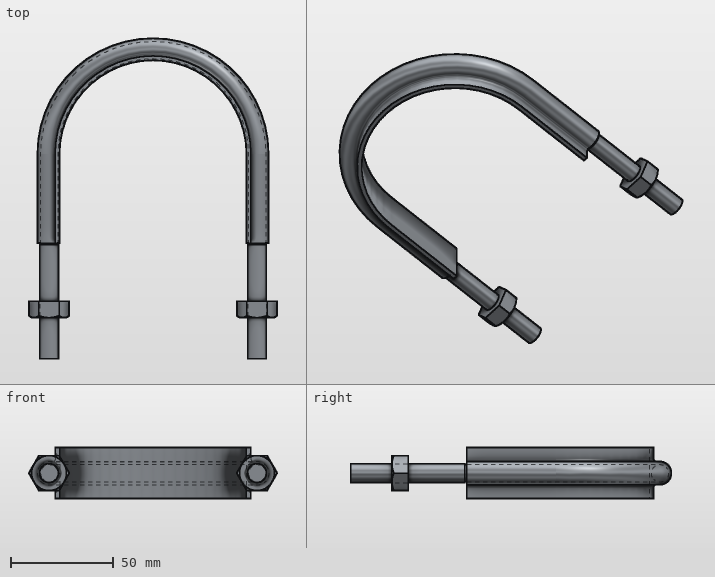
import cadquery as cq
import math

leg_spacing = 101.0
bend_radius = leg_spacing / 2
rod_diameter = 9.2
core_diameter = 8.4
neck_length = 0.8

band_width = 25.0
band_thickness = 2.2
band_inner_radius = 45.3
band_outer_radius = band_inner_radius + band_thickness
sleeve_diameter = 11.4
sleeve_radius = sleeve_diameter / 2
root_fillet = 1.5
liner_leg = 43.3

overall_length = 155.8
leg_end_y = bend_radius + sleeve_radius - overall_length
liner_end_y = -liner_leg
rod_shoulder_y = liner_end_y - neck_length

nut_across_flats = 17.0
nut_across_corners = nut_across_flats / math.cos(math.pi / 6)
nut_thickness = 8.0
nut_from_leg_end = 20.1
nut_face_diameter = 17.0
nut_chamfer_height = 1.0


def sweep_around_u(make_section):
    """Carry the closed XZ section made at +X along one leg, around the bend and back."""
    leg = make_section().extrude(liner_leg)
    bend = make_section().revolve(180, (0, 0, 0), (0, 1, 0))
    return leg.union(leg.mirror("YZ")).union(bend)


def cylinder_along_leg(x, y_start, y_end, diameter):
    plane = cq.Workplane("XZ", origin=(x, y_start, 0))
    return plane.circle(diameter / 2).extrude(y_start - y_end)


def make_rod():
    rod = sweep_around_u(core_section)
    for x in (-bend_radius, bend_radius):
        rod = rod.union(cylinder_along_leg(x, liner_end_y, rod_shoulder_y, core_diameter))
        rod = rod.union(cylinder_along_leg(x, rod_shoulder_y, leg_end_y, rod_diameter))
    return rod


def core_section():
    return cq.Workplane("XZ").moveTo(bend_radius, 0).circle(core_diameter / 2)


def liner_section():
    """Band and sleeve outline, with tangent root fillets on both sides."""
    half_width = band_width / 2
    fillet_x = band_outer_radius + root_fillet
    centre_distance = sleeve_radius + root_fillet
    fillet_z = math.sqrt(centre_distance**2 - (bend_radius - fillet_x)**2)
    tangent_x = bend_radius + (fillet_x - bend_radius) * sleeve_radius / centre_distance
    tangent_z = fillet_z * sleeve_radius / centre_distance
    sleeve_angle = math.atan2(-fillet_z, bend_radius - fillet_x)
    mid_angle = (sleeve_angle - math.pi) / 2
    mid_x = fillet_x + root_fillet * math.cos(mid_angle)
    mid_z = fillet_z + root_fillet * math.sin(mid_angle)
    return (
        cq.Workplane("XZ")
        .moveTo(band_inner_radius, -half_width)
        .lineTo(band_inner_radius, half_width)
        .lineTo(band_outer_radius, half_width)
        .lineTo(band_outer_radius, fillet_z)
        .threePointArc((mid_x, mid_z), (tangent_x, tangent_z))
        .threePointArc((bend_radius + sleeve_radius, 0), (tangent_x, -tangent_z))
        .threePointArc((mid_x, -mid_z), (band_outer_radius, -fillet_z))
        .lineTo(band_outer_radius, -half_width)
        .close()
    )


def make_liner():
    return sweep_around_u(liner_section).cut(sweep_around_u(core_section))


def make_nut(x):
    """Nut with its corners chamfered on the face toward the leg end."""
    front_y = leg_end_y + nut_from_leg_end
    back_y = front_y + nut_thickness
    nut = (
        cq.Workplane("XZ", origin=(x, back_y, 0))
        .polygon(6, nut_across_corners)
        .extrude(nut_thickness)
    )
    envelope = cylinder_along_leg(x, back_y, front_y, nut_across_corners)
    corner_cut = (nut_across_corners - nut_face_diameter) / 2
    envelope = envelope.faces("<Y").chamfer(nut_chamfer_height, corner_cut)
    return nut.intersect(envelope).cut(cylinder_along_leg(x, back_y, front_y, rod_diameter))


rod = make_rod()
liner = make_liner()
nuts = [make_nut(x) for x in (-bend_radius, bend_radius)]

result = cq.Compound.makeCompound([rod.val(), liner.val(), *[nut.val() for nut in nuts]])